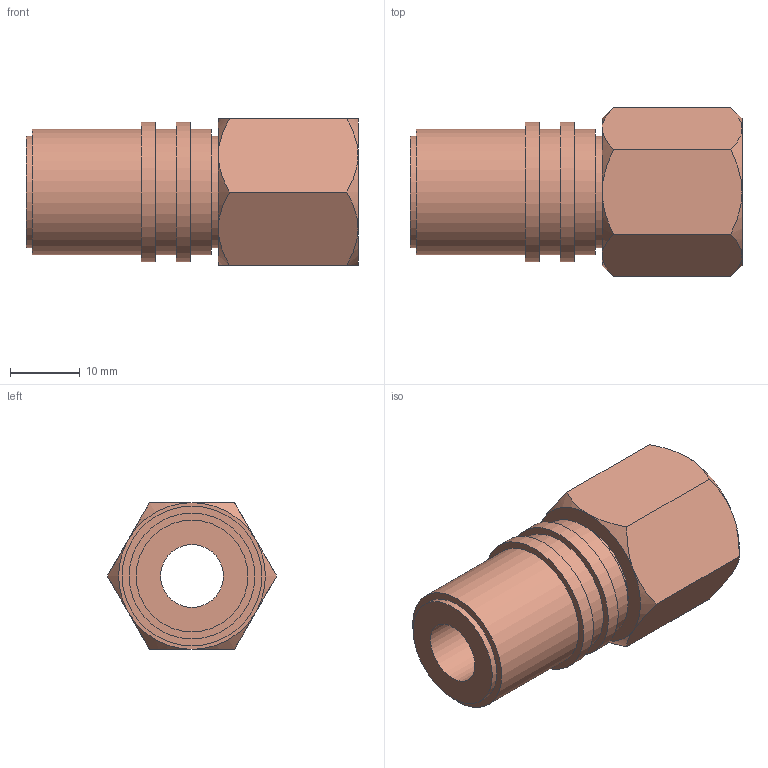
import cadquery as cq
import math

nose_end = 0.9
ring_starts = (16.5, 21.5)
ring_width = 2.0
body_end = 26.5
hex_start = 27.5
hex_length = 20.0

nose_diameter = 16.0
body_diameter = 18.0
ring_diameter = 20.0
neck_diameter = 16.0
bore_diameter = 9.0

across_flats = 21.0
across_corners = across_flats / math.cos(math.pi / 6)
corner_chamfer = (across_corners - across_flats) / 2

total_length = hex_start + hex_length


def cylinder(start, end, diameter):
    """Solid cylinder on the X axis between two stations."""
    return cq.Workplane("YZ").workplane(offset=start).circle(diameter / 2).extrude(end - start)


def hex_nut():
    """Hexagonal end, its corners turned down to the flat width at both faces."""
    prism = cq.Workplane("YZ").workplane(offset=hex_start).polygon(6, across_corners).extrude(hex_length)
    turned_blank = cylinder(hex_start, total_length, across_corners).edges("%CIRCLE").chamfer(corner_chamfer)
    return prism.intersect(turned_blank)


def spigot():
    """Stepped round end: nose, body with two raised rings, and neck."""
    shape = cylinder(0, nose_end, nose_diameter)
    shape = shape.union(cylinder(nose_end, body_end, body_diameter))
    for ring_start in ring_starts:
        shape = shape.union(cylinder(ring_start, ring_start + ring_width, ring_diameter))
    return shape.union(cylinder(body_end, hex_start, neck_diameter))


bore = cylinder(0, total_length, bore_diameter)
result = spigot().union(hex_nut()).cut(bore)